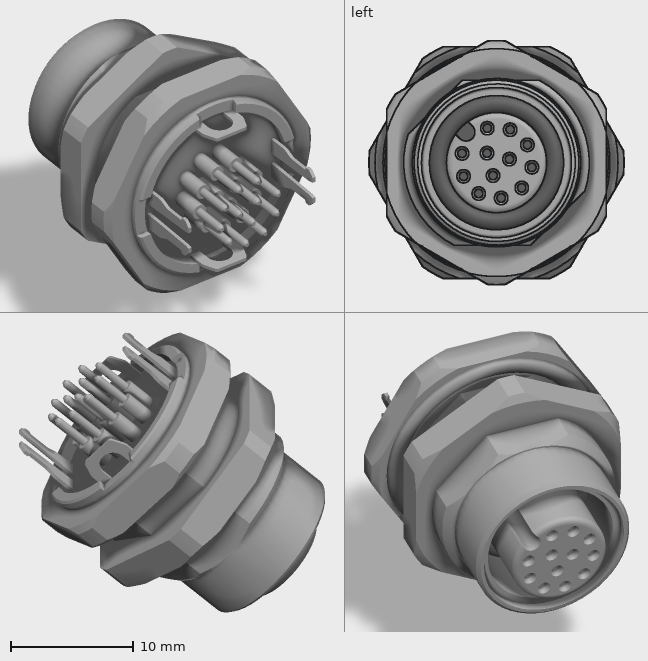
import cadquery as cq
import math


SHELL_FRONT = 1.5
COLLAR_FRONT = 6.45
NUT_FRONT = 9.45
NUT_REAR = 12.3
FLANGE_FRONT = 15.3
FLANGE_REAR = 18.0
WINDOW_FRONT = 18.5
BODY_REAR = 19.0
SLEEVE_REAR = 20.45
PIN_REAR = 23.65

SHELL_R = 13.5 / 2
SHELL_CHAMFER = 0.3
COLLAR_R = 15.2 / 2
COLLAR_CHAMFER = 0.7
COLLAR_LAND = 0.03
FLAT_DISTANCE = 6.75
FLAT_ANGLES = (0, 45, 180, 225)
MOUTH_R = 12.3 / 2
MOUTH_DEPTH = 0.8
BORE_R = 11.0 / 2

INSERT_R = 4.1
INSERT_FILLET = 0.5
KEYWAY_R = 0.73
KEYWAY_PITCH_R = 3.53
KEYWAY_ANGLE = -45

SEAL_R = (BORE_R - INSERT_R) / 2
SEAL_PITCH_R = (BORE_R + INSERT_R) / 2
SEAL_CENTRE = 8.0

OUTER_PITCH_R = 2.92
OUTER_COUNT = 9
OUTER_STEP = 37.5
OUTER_START = 30
INNER_PITCH_R = 1.1
INNER_COUNT = 3
INNER_STEP = 120
SOCKET_R = 0.7 / 2
SOCKET_MOUTH_R = 0.55
SOCKET_COUNTERSINK = 0.3
SOCKET_DEPTH = 5.0
SLEEVE_R = 1.3 / 2
PIN_R = 0.7 / 2
PIN_TIP_R = 0.18
PIN_TIP_LENGTH = 0.3

FLANGE_ACROSS_FLATS = 19.0
FLANGE_CORNER_R = 10.45
FLANGE_CHAMFER = 0.5
RIM_R = 16.0 / 2
RIM_END_R = 15.6 / 2
RIM_CHAMFER_LENGTH = 0.15
RECESS_R = 7.0
WINDOW_HALF_WIDTH = 1.85

RING_R = 0.75
RING_PITCH_R = 8.4
RING_PROUD = 0.3
GROOVE_R = 9.3
GROOVE_DEPTH = 2 * RING_R - RING_PROUD

PLATE_THICKNESS = 0.3
PRONG_PLATE_OFFSET = 6.25
LOOP_PLATE_OFFSET = 6.48

NUT_ACROSS_FLATS = 18.0
NUT_CORNER_R = 10.0
NUT_FACE_R = 9.33
NUT_CHAMFER_LENGTH = 0.43


def revolved(profile):
    """Turn a closed (x, radius) outline around the X axis."""
    return cq.Workplane("XY").polyline(profile).close().revolve(360, (0, 0, 0), (1, 0, 0))


def cylinder(front, rear, radius):
    return cq.Workplane("YZ").workplane(offset=front).circle(radius).extrude(rear - front)


def hexagon(front, rear, across_flats, turn):
    """Hexagonal prism along X; with no turn, two corners lie on the Y axis."""
    prism = cq.Workplane("YZ").workplane(offset=front).polygon(6, across_flats / math.cos(math.pi / 6))
    return prism.extrude(rear - front).rotate((0, 0, 0), (1, 0, 0), turn)


def torus(centre_x, pitch_radius, radius):
    ring = cq.Workplane("XY").center(centre_x, pitch_radius).circle(radius)
    return ring.revolve(360, (-centre_x, -pitch_radius, 0), (1 - centre_x, -pitch_radius, 0))


def polar(radius, angle):
    """(y, z) at an angle measured from +Z towards -Y."""
    return (-radius * math.sin(math.radians(angle)), radius * math.cos(math.radians(angle)))


def contact_places():
    outer = [
        polar(OUTER_PITCH_R, KEYWAY_ANGLE + OUTER_START + i * OUTER_STEP) for i in range(OUTER_COUNT)
    ]
    inner = [polar(INNER_PITCH_R, KEYWAY_ANGLE + i * INNER_STEP) for i in range(INNER_COUNT)]
    return outer + inner


def make_collar():
    """Collar behind the shell with a coned front; its two pairs of flats stop at a thin round land."""
    flat_front = COLLAR_FRONT + COLLAR_LAND
    flat_length = FLANGE_FRONT - flat_front
    collar = revolved([
        (COLLAR_FRONT, 0),
        (COLLAR_FRONT, COLLAR_R - COLLAR_CHAMFER),
        (flat_front, COLLAR_R - COLLAR_CHAMFER),
        (flat_front + COLLAR_CHAMFER, COLLAR_R),
        (FLANGE_FRONT, COLLAR_R),
        (FLANGE_FRONT, 0),
    ])
    for angle in FLAT_ANGLES:
        beyond_flat = cq.Workplane("XY").box(
            flat_length, 2 * COLLAR_R, COLLAR_R, centered=(False, True, False)
        )
        beyond_flat = beyond_flat.translate((flat_front, 0, FLAT_DISTANCE))
        collar = collar.cut(beyond_flat.rotate((0, 0, 0), (1, 0, 0), -angle))
    return collar


def make_shell():
    """Front sleeve and collar with the bore, solid behind the seal."""
    shell = cylinder(SHELL_FRONT, COLLAR_FRONT, SHELL_R).faces("<X").chamfer(SHELL_CHAMFER)
    shell = shell.union(make_collar())
    shell = shell.cut(cylinder(SHELL_FRONT, SHELL_FRONT + MOUTH_DEPTH, MOUTH_R))
    shell = shell.cut(cylinder(SHELL_FRONT, SEAL_CENTRE, BORE_R))
    return shell.union(torus(SEAL_CENTRE, SEAL_PITCH_R, SEAL_R))


def make_insert():
    """Contact insert with its polarising keyway."""
    insert = cylinder(0, SEAL_CENTRE, INSERT_R).faces("<X").edges().fillet(INSERT_FILLET)
    keyway = cq.Workplane("YZ").center(0, KEYWAY_PITCH_R).circle(KEYWAY_R).extrude(SEAL_CENTRE - SEAL_R)
    keyway = keyway.union(
        cq.Workplane("YZ")
        .center(0, KEYWAY_PITCH_R + KEYWAY_R)
        .rect(2 * KEYWAY_R, 2 * KEYWAY_R)
        .extrude(SEAL_CENTRE - SEAL_R)
    )
    return insert.cut(keyway.rotate((0, 0, 0), (1, 0, 0), KEYWAY_ANGLE))


def make_flange():
    """Hexagonal flange with chamfered corners, O-ring groove and recessed, windowed rear rim."""
    corners = cylinder(FLANGE_FRONT, FLANGE_REAR, FLANGE_CORNER_R).edges().chamfer(FLANGE_CHAMFER)
    flange = hexagon(FLANGE_FRONT, FLANGE_REAR, FLANGE_ACROSS_FLATS, 0).intersect(corners)
    groove = cylinder(FLANGE_FRONT, FLANGE_FRONT + GROOVE_DEPTH, GROOVE_R)
    flange = flange.cut(groove.cut(cylinder(FLANGE_FRONT, FLANGE_REAR, COLLAR_R)))

    rim = revolved([
        (FLANGE_REAR, RECESS_R),
        (FLANGE_REAR, RIM_R),
        (BODY_REAR - RIM_CHAMFER_LENGTH, RIM_R),
        (BODY_REAR, RIM_END_R),
        (BODY_REAR, RECESS_R),
    ])
    window = cq.Workplane("XY").box(
        BODY_REAR - WINDOW_FRONT, 2 * WINDOW_HALF_WIDTH, 2 * RIM_R, centered=(False, True, True)
    )
    window = window.translate((WINDOW_FRONT, 0, 0))
    rim = rim.cut(window).cut(window.rotate((0, 0, 0), (1, 0, 0), 90))
    return flange.union(rim)


def make_prong_plate():
    """Clip plate in the XZ plane with two barbed prongs."""
    shoulder = (19.8, 1.9)
    neck = (20.8, 1.49)
    bend_radius = 1.1
    outline = [
        (FLANGE_REAR, 0.5),
        (FLANGE_REAR, shoulder[1]),
        shoulder,
        neck,
        (22.75, neck[1]),
        (22.85, 1.75),
        (23.3, 1.75),
        (23.8, 1.25),
        (23.8, 0.77),
        (23.35, 0.68),
    ]
    prong = cq.Workplane("XZ").polyline(outline).close().extrude(PLATE_THICKNESS / 2, both=True)
    for x, z in (shoulder, neck):
        prong = prong.edges(cq.NearestToPointSelector((x, 0, z))).fillet(bend_radius)
    return prong.union(prong.mirror("XY"))


def make_loop_plate():
    """Clip plate in the XY plane with tapered sides and a round-ended slot."""
    shoulder = (19.7, 2.07)
    bend_radius = 1.0
    taper_end = (20.7, 1.65)
    corner_middle = (20.9, 1.54)
    plate_end = (21.0, 1.4)
    slot_radius = 1.12
    slot_end = 20.32
    plate = (
        cq.Workplane("XY")
        .moveTo(FLANGE_REAR, 0)
        .lineTo(FLANGE_REAR, shoulder[1])
        .lineTo(*shoulder)
        .lineTo(*taper_end)
        .threePointArc(corner_middle, plate_end)
        .lineTo(plate_end[0], 0)
        .close()
        .extrude(PLATE_THICKNESS / 2, both=True)
    )
    plate = plate.edges(cq.NearestToPointSelector((*shoulder, 0))).fillet(bend_radius)
    plate = plate.union(plate.mirror("XZ"))
    slot = cq.Workplane("XY").center(FLANGE_REAR, 0).slot2D(2 * (slot_end - FLANGE_REAR), 2 * slot_radius)
    return plate.cut(slot.extrude(PLATE_THICKNESS, both=True))


def make_sockets():
    """Cutters for the countersunk contact holes in the mating face."""
    cutter = revolved([
        (0, 0),
        (0, SOCKET_MOUTH_R),
        (SOCKET_COUNTERSINK, SOCKET_R),
        (SOCKET_DEPTH, SOCKET_R),
        (SOCKET_DEPTH, 0),
    ])
    return [cutter.translate((0, y, z)) for y, z in contact_places()]


def make_pins():
    """Solder pins with insulating sleeves."""
    pin = revolved([
        (FLANGE_REAR, 0),
        (FLANGE_REAR, SLEEVE_R),
        (SLEEVE_REAR, SLEEVE_R),
        (SLEEVE_REAR, PIN_R),
        (PIN_REAR - PIN_TIP_LENGTH, PIN_R),
        (PIN_REAR, PIN_TIP_R),
        (PIN_REAR, 0),
    ])
    return [pin.translate((0, y, z)) for y, z in contact_places()]


def make_housing():
    housing = make_shell().union(make_insert()).union(make_flange())
    for socket in make_sockets():
        housing = housing.cut(socket)
    for pin in make_pins():
        housing = housing.union(pin)
    for side in (-1, 1):
        housing = housing.union(make_prong_plate().translate((0, side * PRONG_PLATE_OFFSET, 0)))
        housing = housing.union(make_loop_plate().translate((0, 0, side * LOOP_PLATE_OFFSET)))
    return housing


def make_panel_ring():
    return torus(FLANGE_FRONT - RING_PROUD + RING_R, RING_PITCH_R, RING_R)


def make_lock_nut():
    """Hexagonal nut, chamfered in front, with two corners on the Z axis and a bore that fits the collar."""
    corners = revolved([
        (NUT_FRONT, 0),
        (NUT_FRONT, NUT_FACE_R),
        (NUT_FRONT + NUT_CHAMFER_LENGTH, NUT_CORNER_R),
        (NUT_REAR, NUT_CORNER_R),
        (NUT_REAR, 0),
    ])
    nut = hexagon(NUT_FRONT, NUT_REAR, NUT_ACROSS_FLATS, 90).intersect(corners)
    return nut.cut(make_collar())


housing = make_housing()
panel_ring = make_panel_ring()
lock_nut = make_lock_nut()

bodies = [housing, panel_ring, lock_nut]
result = cq.Compound.makeCompound([body.solids().val() for body in bodies])